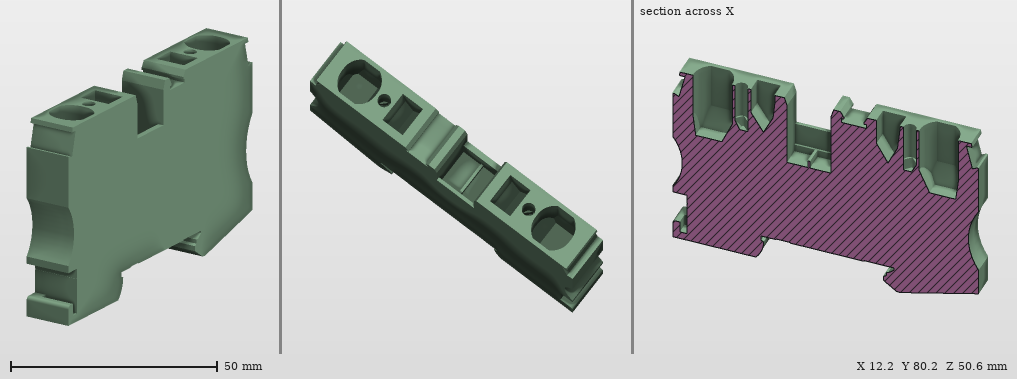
import cadquery as cq

WIDTH = 12.15
LENGTH = 80.2
HEIGHT = 50.6
HALF_WIDTH = WIDTH / 2
END = LENGTH / 2

LIP_END = 38.4
LIP_TOP_END = 38.15
LIP_UNDER_Z = 49.4
NECK_TOP_Y = 36.9
NECK_BOTTOM_Y = 38.45
NECK_BOTTOM_Z = 43.1
EAR_Z = 43.65
EAR_FLAT_Y = 39.55

MARKER_CENTER = 7.4
MARKER_MOUTH = 3.55
MARKER_THROAT = 2.6
MARKER_UNDERCUT = 3.2
MARKER_THROAT_Z = 49.0
MARKER_UNDERCUT_Z = 48.4
MARKER_FLOOR_Z = 47.4

SLOT_CENTER = -4.35
SLOT_HALF = 5.7
SLOT_FLOOR_Z = 39.2
SLOT_FLARE = 0.7
SLOT_FLARE_Z = 48.3

HOLLOW_TOP_Z = 30.5
BACK_HOLLOW_BOTTOM_Z = 12.65
BACK_HOLLOW_DEPTH = 2.7
FRONT_HOLLOW_BOTTOM_Z = 15.45
FRONT_HOLLOW_DEPTH = 2.5

NOTCH_TOP_Z = 13.6
NOTCH_FLOOR_Z = 5.1
NOTCH_Y = -36.4
NOTCH_LIP_RADIUS = 0.9
NOTCH_POCKET_Y = -38.1
NOTCH_POCKET_DEPTH = 3.0
NOTCH_LINE_Z = 11.0
NOTCH_LINE_HEIGHT = 0.2
NOTCH_LINE_DEPTH = 0.1

RAIL_Z = 7.0
RAIL_PAD_Z = 6.8
RAIL_PAD_START = 10.1
RAIL_PAD_END = -9.3
RAIL_STEP_Y = -13.0
HOOK_ROOT_Z = 5.5
HOOK_TOE_Y = 19.5
HOOK_TOE_BEVEL = 1.0
HOOK_TOE_LIFT = 0.1
HOOK_NOSE_Y = 15.1
HOOK_NOSE_BOTTOM_Z = 2.5
HOOK_NOSE_TOP_Z = 3.8
HOOK_THROAT_Y = 18.55
HOOK_THROAT_Z = 5.95
HOOK_FILL = 0.75
HOOK_STEP_Y = 15.8
HOOK_STEP_Z = 5.3
HOOK_STEP_LENGTH = 0.6
HOOK_FILL_Z = 6.4
FOOT_THROAT_Y = -16.85
FOOT_THROAT_Z = 5.6
FOOT_NOSE_Y = -16.15
FOOT_NOSE_Z = 5.3
FOOT_BEND_Y = -16.75
FOOT_BEND_Z = 2.4
FOOT_TOE_Y = -18.3
SIDE_PLATE_X = -3.0

WIRE_CENTER_Y = 29.6
WIRE_RADIUS = 5.1
WIRE_STRETCH = 1.0
WIRE_HALF_WIDTH = 5.0
WIRE_STRAIGHT_DEPTH = 12.0
WIRE_TAPER_DEPTH = 6.0
WIRE_FLOOR_CENTER_X = 0.37
WIRE_FLOOR_WIDTH = 7.55
WIRE_FLOOR_LENGTH = 6.75
WIRE_FLOOR_OFFSET = 1.0
TEST_HOLE_Y = 22.05
TEST_HOLE_RADIUS = 1.65
TEST_HOLE_DEPTH = 10.0
TEST_SOCKET_DEPTH = 3.0
TEST_RAMP_OFFSET = 0.4
TEST_RAMP_HEIGHT = 2.4
RELEASE_WIDTH = 8.1
RELEASE_OUTER_Y = 19.5
RELEASE_INNER_Y = 13.35
RELEASE_VALLEY_Y = 16.3
RELEASE_VALLEY_DEPTH = 12.0
RELEASE_SIDE_DEPTH = 7.0
BACK_LEAD_IN = 0.8
BACK_LEAD_IN_DEPTH = 0
FRONT_LEAD_IN = 0.5
FRONT_LEAD_IN_DEPTH = 2.1

RECESS_MIN_X = -5.2
RECESS_MAX_X = 4.6
RECESS_DEPTH = 6.0
POCKET_MIN_X = -4.7
POCKET_DEPTH = 8.0
DIVIDER_THICKNESS = 0.7


def box(x_range, y_range, z_range):
    (x0, x1), (y0, y1), (z0, z1) = x_range, y_range, z_range
    return cq.Workplane("XY").box(x1 - x0, y1 - y0, z1 - z0, centered=False).translate((x0, y0, z0))


def prism(points, x_start, x_end):
    """Extrude a closed YZ outline from x_start to x_end."""
    return cq.Workplane("YZ", origin=(x_start, 0, 0)).polyline(points).close().extrude(x_end - x_start)


def end_lip(side):
    """Points of an end from the top face down to the ear; side is +1 or -1."""
    return [
        (side * LIP_TOP_END, HEIGHT),
        (side * LIP_END, LIP_UNDER_Z),
        (side * NECK_TOP_Y, LIP_UNDER_Z),
        (side * NECK_BOTTOM_Y, NECK_BOTTOM_Z),
        (side * EAR_FLAT_Y, EAR_Z),
        (side * END, EAR_Z),
        (side * END, HOLLOW_TOP_Z),
    ]


def marker_flank(side):
    """Flank of the marker groove from the top face to its floor."""
    return [
        (MARKER_CENTER + side * MARKER_MOUTH, HEIGHT),
        (MARKER_CENTER + side * MARKER_THROAT, MARKER_THROAT_Z),
        (MARKER_CENTER + side * MARKER_THROAT, MARKER_UNDERCUT_Z),
        (MARKER_CENTER + side * MARKER_UNDERCUT, MARKER_UNDERCUT_Z),
        (MARKER_CENTER + side * MARKER_UNDERCUT, MARKER_FLOOR_Z),
    ]


def slot_flank(side):
    """Flank of the bridge slot from the top face to its floor."""
    return [
        (SLOT_CENTER + side * (SLOT_HALF + SLOT_FLARE), HEIGHT),
        (SLOT_CENTER + side * SLOT_HALF, SLOT_FLARE_Z),
        (SLOT_CENTER + side * SLOT_HALF, SLOT_FLOOR_Z),
    ]


def housing():
    """Extruded side outline of the whole block."""
    hook = [
        (END, HOOK_ROOT_Z),
        (HOOK_TOE_Y, 0),
        (HOOK_TOE_Y - HOOK_TOE_BEVEL, HOOK_TOE_LIFT),
        (HOOK_NOSE_Y, HOOK_NOSE_BOTTOM_Z),
        (HOOK_NOSE_Y, HOOK_NOSE_TOP_Z),
        (HOOK_THROAT_Y, HOOK_THROAT_Z),
        (HOOK_THROAT_Y, RAIL_Z),
    ]
    rail_seat = [
        (RAIL_PAD_START, RAIL_Z),
        (RAIL_PAD_START, RAIL_PAD_Z),
        (RAIL_PAD_END, RAIL_PAD_Z),
        (RAIL_PAD_END, RAIL_Z),
        (RAIL_STEP_Y, RAIL_Z),
        (RAIL_STEP_Y, RAIL_PAD_Z),
        (FOOT_THROAT_Y, RAIL_PAD_Z),
        (FOOT_THROAT_Y, FOOT_THROAT_Z),
        (FOOT_NOSE_Y, FOOT_NOSE_Z),
    ]
    foot_bend = (FOOT_BEND_Y, FOOT_BEND_Z)
    foot_toe = (FOOT_TOE_Y, 0)
    lip_round_mid = NOTCH_LIP_RADIUS * (1 - 0.5 ** 0.5)
    top = (
        end_lip(-1)[::-1]
        + slot_flank(-1)
        + slot_flank(1)[::-1]
        + marker_flank(-1)
        + marker_flank(1)[::-1]
        + end_lip(1)
    )
    back_mid = (END - BACK_HOLLOW_DEPTH, (HOLLOW_TOP_Z + BACK_HOLLOW_BOTTOM_Z) / 2)
    front_mid = (-END + FRONT_HOLLOW_DEPTH, (HOLLOW_TOP_Z + FRONT_HOLLOW_BOTTOM_Z) / 2)
    outline = (
        cq.Workplane("YZ", origin=(-HALF_WIDTH, 0, 0))
        .polyline(top)
        .threePointArc(back_mid, (END, BACK_HOLLOW_BOTTOM_Z))
    )
    for point in hook + rail_seat:
        outline = outline.lineTo(*point)
    outline = (
        outline.threePointArc(foot_bend, foot_toe)
        .lineTo(-END, 0)
        .lineTo(-END, NOTCH_FLOOR_Z - NOTCH_LIP_RADIUS)
        .threePointArc(
            (-END + lip_round_mid, NOTCH_FLOOR_Z - lip_round_mid),
            (-END + NOTCH_LIP_RADIUS, NOTCH_FLOOR_Z),
        )
        .lineTo(NOTCH_Y, NOTCH_FLOOR_Z)
        .lineTo(NOTCH_Y, NOTCH_TOP_Z)
        .lineTo(-END, NOTCH_TOP_Z)
        .lineTo(-END, FRONT_HOLLOW_BOTTOM_Z)
        .threePointArc(front_mid, (-END, HOLLOW_TOP_Z))
        .close()
    )
    return outline.extrude(WIDTH)


def hook_filler():
    """The hook throat is slightly smaller beyond the side plate on -X."""
    points = [
        (HOOK_THROAT_Y, RAIL_Z),
        (HOOK_THROAT_Y - HOOK_FILL, RAIL_Z),
        (HOOK_THROAT_Y - HOOK_FILL, HOOK_FILL_Z),
        (HOOK_STEP_Y + HOOK_STEP_LENGTH, HOOK_STEP_Z),
        (HOOK_STEP_Y, HOOK_STEP_Z),
        (HOOK_STEP_Y, HOOK_NOSE_TOP_Z),
        (HOOK_THROAT_Y, HOOK_NOSE_TOP_Z),
    ]
    return prism(points, SIDE_PLATE_X, HALF_WIDTH)


def notch_pocket():
    """Pocket behind the notch lip, open on +X beyond the side plate."""
    return box(
        (SIDE_PLATE_X, HALF_WIDTH),
        (NOTCH_POCKET_Y, NOTCH_Y),
        (NOTCH_FLOOR_Z - NOTCH_POCKET_DEPTH, NOTCH_FLOOR_Z),
    )


def notch_line():
    """Fine groove across the back wall of the notch."""
    return box(
        (-HALF_WIDTH, HALF_WIDTH),
        (NOTCH_Y, NOTCH_Y + NOTCH_LINE_DEPTH),
        (NOTCH_LINE_Z, NOTCH_LINE_Z + NOTCH_LINE_HEIGHT),
    )


def wire_entry(side):
    """Round entry with flattened sides, tapering to a rectangular floor."""
    center_y = side * WIRE_CENTER_Y
    depth = WIRE_STRAIGHT_DEPTH + WIRE_TAPER_DEPTH
    straight_z = HEIGHT - WIRE_STRAIGHT_DEPTH
    top = cq.Workplane("XY", origin=(0, center_y, HEIGHT))
    round_hole = top.slot2D(2 * WIRE_RADIUS + WIRE_STRETCH, 2 * WIRE_RADIUS).extrude(-depth)
    straight = top.rect(2 * WIRE_HALF_WIDTH, 2 * WIRE_RADIUS).extrude(-WIRE_STRAIGHT_DEPTH)
    taper = (
        cq.Workplane("XY", origin=(0, center_y, straight_z))
        .rect(2 * WIRE_HALF_WIDTH, 2 * WIRE_RADIUS)
        .workplane(offset=-WIRE_TAPER_DEPTH)
        .center(WIRE_FLOOR_CENTER_X, side * WIRE_FLOOR_OFFSET)
        .rect(WIRE_FLOOR_WIDTH, WIRE_FLOOR_LENGTH)
        .loft(ruled=True)
    )
    return round_hole.intersect(straight.union(taper))


def test_hole(side):
    """Round hole ending in a square socket set on its corner, with a ramp on the socket floor."""
    top = cq.Workplane("XY", origin=(0, side * TEST_HOLE_Y, HEIGHT))
    socket_depth = TEST_HOLE_DEPTH + TEST_SOCKET_DEPTH
    floor_z = HEIGHT - socket_depth
    ramp_start = side * (TEST_HOLE_Y + TEST_RAMP_OFFSET)
    ramp_end = side * (TEST_HOLE_Y + TEST_HOLE_RADIUS)
    ramp_outline = [(ramp_start, floor_z), (ramp_end, floor_z), (ramp_end, floor_z + TEST_RAMP_HEIGHT)]
    ramp = prism(ramp_outline, -TEST_HOLE_RADIUS, TEST_HOLE_RADIUS)
    socket = top.polygon(4, 2 * TEST_HOLE_RADIUS).extrude(-socket_depth).cut(ramp)
    return top.circle(TEST_HOLE_RADIUS).extrude(-TEST_HOLE_DEPTH).union(socket)


def release_slot(side, lead_in, lead_in_depth):
    """Rectangular slot with a V-shaped bottom; its +Y wall leans in by lead_in below lead_in_depth."""
    low_y, high_y = sorted((side * RELEASE_INNER_Y, side * RELEASE_OUTER_Y))
    points = [(high_y, HEIGHT)]
    if lead_in_depth > 0:
        points.append((high_y, HEIGHT - lead_in_depth))
    points += [
        (high_y - lead_in, HEIGHT - RELEASE_SIDE_DEPTH),
        (side * RELEASE_VALLEY_Y, HEIGHT - RELEASE_VALLEY_DEPTH),
        (low_y, HEIGHT - RELEASE_SIDE_DEPTH),
        (low_y, HEIGHT),
    ]
    return prism(points, -RELEASE_WIDTH / 2, RELEASE_WIDTH / 2)


def bridge_recess():
    """Recess below the bridge slot with two deeper pockets beside a divider."""
    slot_start = SLOT_CENTER - SLOT_HALF
    slot_end = SLOT_CENTER + SLOT_HALF
    recess = box(
        (RECESS_MIN_X, RECESS_MAX_X),
        (slot_start, slot_end),
        (SLOT_FLOOR_Z - RECESS_DEPTH, SLOT_FLOOR_Z),
    )
    divider_start = SLOT_CENTER - DIVIDER_THICKNESS / 2
    divider_end = SLOT_CENTER + DIVIDER_THICKNESS / 2
    for y_range in ((slot_start, divider_start), (divider_end, slot_end)):
        pocket_z = (SLOT_FLOOR_Z - POCKET_DEPTH, SLOT_FLOOR_Z)
        recess = recess.union(box((POCKET_MIN_X, RECESS_MAX_X), y_range, pocket_z))
    return recess


result = housing().union(hook_filler())
result = result.cut(notch_pocket()).cut(notch_line()).cut(bridge_recess())
for end_side in (-1, 1):
    result = result.cut(wire_entry(end_side)).cut(test_hole(end_side))
result = result.cut(release_slot(1, BACK_LEAD_IN, BACK_LEAD_IN_DEPTH))
result = result.cut(release_slot(-1, FRONT_LEAD_IN, FRONT_LEAD_IN_DEPTH))